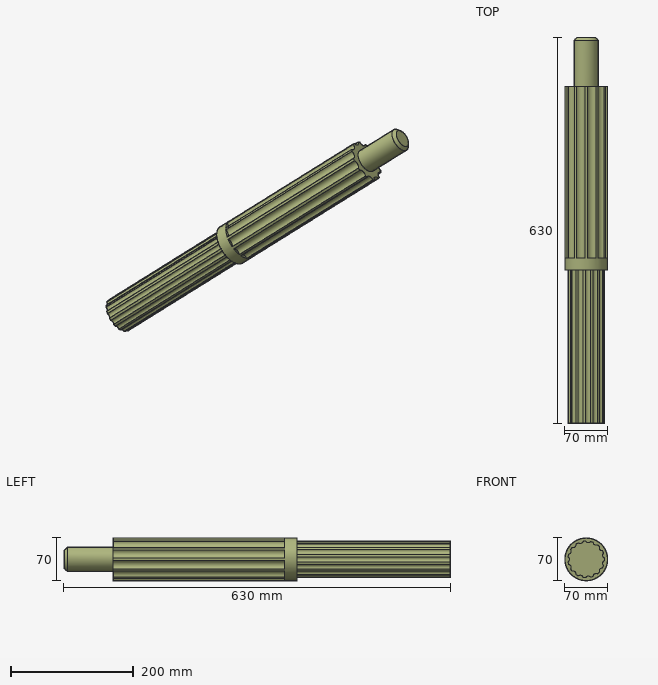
import cadquery as cq
import math

total_length = 630.0
thin_spline_length = 250.0
collar_length = 20.0
stub_length = 80.0
thick_spline_length = total_length - thin_spline_length - collar_length - stub_length

collar_start = thin_spline_length
thick_spline_start = collar_start + collar_length
stub_start = thick_spline_start + thick_spline_length

collar_diameter = 70.0
thin_spline_diameter = 60.0
stub_diameter = 40.0
stub_chamfer = 5.0

thick_flute_count = 12
thick_flute_width = 14.0
thick_flute_depth = 5.0
thin_flute_count = 15
thin_flute_width = 8.0
thin_flute_depth = 2.5


def cylinder(diameter, start, length):
    """Solid cylinder on the Y axis, running toward +Y from start."""
    plane = cq.Plane(origin=(0, start, 0), xDir=(-1, 0, 0), normal=(0, 1, 0))
    return cq.Workplane(plane).circle(diameter / 2).extrude(length)


def cut_flutes(shaft, diameter, start, length, flute_count, flute_width, flute_depth, first_angle):
    """Cut evenly spaced flutes into a shaft; angles turn from +X toward +Z."""
    radius = diameter / 2
    half_width = flute_width / 2
    mouth_distance = math.sqrt(radius**2 - half_width**2)
    floor_distance = radius - flute_depth
    sagitta = mouth_distance - floor_distance
    cutter_radius = (half_width**2 + sagitta**2) / (2 * sagitta)
    cutter_distance = floor_distance + cutter_radius

    cutter = cylinder(2 * cutter_radius, start, length).translate((cutter_distance, 0, 0))
    for index in range(flute_count):
        angle = first_angle + index * 360 / flute_count
        shaft = shaft.cut(cutter.rotate((0, 0, 0), (0, 1, 0), -angle))
    return shaft


thin_spline = cut_flutes(
    cylinder(thin_spline_diameter, 0, thin_spline_length),
    thin_spline_diameter, 0, thin_spline_length,
    thin_flute_count, thin_flute_width, thin_flute_depth, first_angle=180,
)
collar_and_spline_blank = cylinder(collar_diameter, collar_start, collar_length + thick_spline_length)
thick_spline = cut_flutes(
    collar_and_spline_blank,
    collar_diameter, thick_spline_start, thick_spline_length,
    thick_flute_count, thick_flute_width, thick_flute_depth, first_angle=180 / thick_flute_count,
)
stub = cylinder(stub_diameter, stub_start, stub_length).faces(">Y").chamfer(stub_chamfer)

result = thin_spline.union(thick_spline).union(stub)